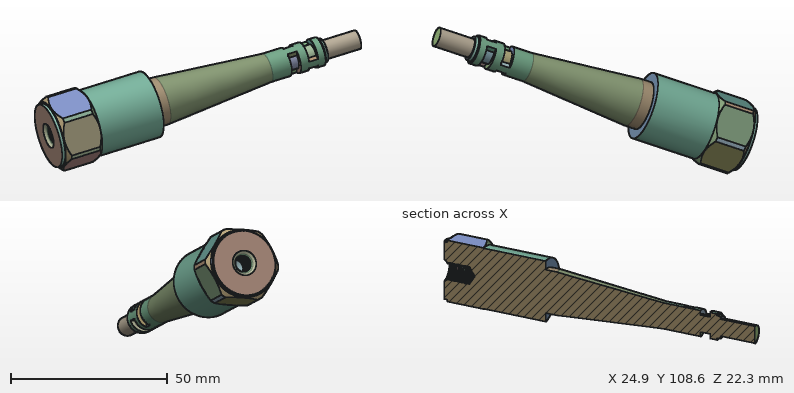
import cadquery as cq
import math

total_length = 108.6
hex_front = 1.1
hex_back = 13.9
body_back = 35.5
cone_front = 39.3
sleeve_front = 76.7
tail_length = 11.9
collar_length = 1.3
collar_taper_length = 1.0
sleeve_back = total_length - tail_length - collar_length

hex_across_flats = 22.3
hex_corner_diameter = 24.9
hex_chamfer_diameter = 22.0
face_diameter = 21.0
body_diameter = 22.0
cone_diameter = 15.9
sleeve_diameter = 9.6
collar_front_diameter = 8.5
collar_back_diameter = 7.8
core_diameter = 6.3

slot_width = 3.3
slot_pitch = 6.2
rear_slot_front = 89.6
rib_width = 2.9

mouth_diameter = 8.0
bore_diameter = 5.2
thread_diameter = 6.3
thread_pitch = 0.7
thread_count = 12
drill_point_angle = 118.0


def revolve_about_y(points):
    """Revolve a closed outline of (radius, y) points about the Y axis."""
    return cq.Workplane("XY").polyline(points).close().revolve(360, (0, 0, 0), (0, 1, 0))


def cylinder(diameter, y_start, y_end):
    """Make a cylinder on the Y axis between two positions."""
    return revolve_about_y([
        (0, y_start),
        (diameter / 2, y_start),
        (diameter / 2, y_end),
        (0, y_end),
    ])


def make_turned_body():
    """Front disc, body, tapered boot, sleeve, collar and cable tail."""
    return revolve_about_y([
        (0, 0),
        (face_diameter / 2, 0),
        (face_diameter / 2, hex_back),
        (body_diameter / 2, hex_back),
        (body_diameter / 2, body_back),
        (cone_diameter / 2, body_back),
        (cone_diameter / 2, cone_front),
        (sleeve_diameter / 2, sleeve_front),
        (sleeve_diameter / 2, sleeve_back),
        (collar_front_diameter / 2, sleeve_back),
        (collar_front_diameter / 2, sleeve_back + collar_length - collar_taper_length),
        (collar_back_diameter / 2, sleeve_back + collar_length),
        (core_diameter / 2, sleeve_back + collar_length),
        (core_diameter / 2, total_length),
        (0, total_length),
    ])


def make_hex():
    """Hexagon with flats facing +Z and -Z, its corners turned and chamfered at 45 degrees."""
    across_corners = hex_across_flats / math.cos(math.pi / 6)
    prism = (
        cq.Workplane("XZ", origin=(0, hex_front, 0))
        .polygon(6, across_corners)
        .extrude(-(hex_back - hex_front))
    )
    chamfer = (hex_corner_diameter - hex_chamfer_diameter) / 2
    blank = cylinder(hex_corner_diameter, hex_front, hex_back).edges().chamfer(chamfer)
    return prism.intersect(blank)


def make_slot(y_start, rib_angle):
    """Ring around the core, interrupted by two opposite ribs."""
    y_end = y_start + slot_width
    ring = cylinder(2 * sleeve_diameter, y_start, y_end).cut(cylinder(core_diameter, y_start, y_end))
    ribs = (
        cq.Workplane("XY")
        .box(2 * sleeve_diameter, slot_width, rib_width)
        .translate((0, y_start + slot_width / 2, 0))
        .rotate((0, 0, 0), (0, 1, 0), rib_angle)
    )
    return ring.cut(ribs)


def make_socket():
    """Countersunk blind hole with the thread as V-shaped ring grooves and a conical bottom."""
    bore_radius = bore_diameter / 2
    thread_radius = thread_diameter / 2
    mouth_radius = mouth_diameter / 2
    thread_start = mouth_radius - thread_radius
    thread_end = thread_start + thread_count * thread_pitch
    point_depth = bore_radius / math.tan(math.radians(drill_point_angle / 2))

    outline = [(0, 0), (mouth_radius, 0), (thread_radius, thread_start)]
    for turn in range(thread_count):
        crest = thread_start + (turn + 0.5) * thread_pitch
        outline.append((bore_radius, crest))
        outline.append((thread_radius, crest + thread_pitch / 2))
    outline.append((bore_radius, thread_end + thread_pitch / 2))
    outline.append((0, thread_end + thread_pitch / 2 + point_depth))
    return revolve_about_y(outline)


result = make_turned_body().union(make_hex()).cut(make_socket())
for index, rib_angle in enumerate((0, 90)):
    result = result.cut(make_slot(rear_slot_front - index * slot_pitch, rib_angle))